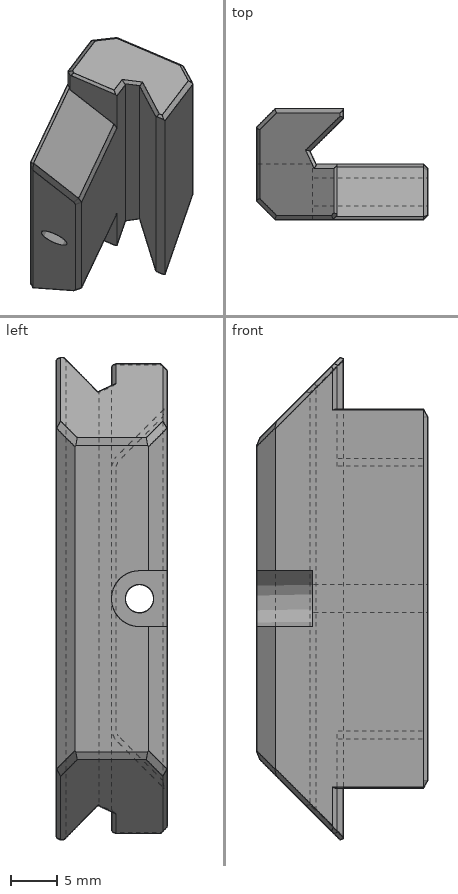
import cadquery as cq
import math

total_depth = 18.5
head_width = 12.0
total_height = 52.05
edge_chamfer = 0.5

head_bevel = 2.05
horn_tip_x = 9.35
horn_tip_thickness = 1.1
notch_root = (5.8, 7.4)
notch_foot_x = 6.4
head_step_x = 8.7
slope_start_z = total_height / 2 - horn_tip_x + edge_chamfer * math.sqrt(0.5)

block_thickness = 6.05
block_front_height = 41.65
block_start_x = 6.75

seat_depth = 6.05
seat_radius = 3.0
hole_diameter = 3.0


def bevelled_end_cutter(direction):
    """Wedge that removes one end of the head above a 45 degree slope."""
    return (
        cq.Workplane("XZ")
        .moveTo(0, direction * slope_start_z)
        .lineTo(total_depth, direction * (slope_start_z + total_depth))
        .lineTo(0, direction * (slope_start_z + total_depth))
        .close()
        .extrude(-head_width)
    )


def make_head():
    """Hooked profile with sloping ends, chamfered around each sloping face."""
    stock_height = 2 * (slope_start_z + total_depth)
    head = (
        cq.Workplane("XY")
        .workplane(offset=-stock_height / 2)
        .moveTo(head_bevel, 0)
        .lineTo(head_step_x, 0)
        .lineTo(head_step_x, block_thickness)
        .lineTo(notch_foot_x, block_thickness)
        .lineTo(*notch_root)
        .lineTo(horn_tip_x, head_width - horn_tip_thickness)
        .lineTo(horn_tip_x, head_width)
        .lineTo(head_bevel, head_width)
        .lineTo(0, head_width - head_bevel)
        .lineTo(0, head_bevel)
        .close()
        .extrude(stock_height)
    )
    head = head.edges("|Z").edges(">(1, -1, 0)").chamfer(edge_chamfer)
    for direction in (1, -1):
        head = head.cut(bevelled_end_cutter(direction))
        slope_normal = cq.Vector(-1, 0, direction)
        slope = head.faces(cq.selectors.DirectionMinMaxSelector(slope_normal))
        head = slope.edges().chamfer(edge_chamfer)
    return head


def make_block():
    """Block whose ends fall back at 45 degrees toward +Y, chamfered around the rear and the ends."""
    front_z = block_front_height / 2
    back_z = front_z - block_thickness
    block = (
        cq.Workplane("YZ")
        .workplane(offset=block_start_x)
        .moveTo(0, -front_z)
        .lineTo(block_thickness, -back_z)
        .lineTo(block_thickness, back_z)
        .lineTo(0, front_z)
        .close()
        .extrude(total_depth - block_start_x)
    )
    rear_edges = block.faces(">X").edges()
    end_edges = block.edges("|X")
    return rear_edges.add(end_edges).chamfer(edge_chamfer)


def make_screw_seat():
    """Round-bottomed slot open to the front and side, with a hole through the block."""
    slot = cq.Workplane("YZ").center(seat_radius, 0).circle(seat_radius).extrude(seat_depth)
    opening = cq.Workplane("XY").box(
        seat_depth, seat_radius, 2 * seat_radius, centered=(False, False, True)
    )
    hole = cq.Workplane("YZ").center(seat_radius, 0).circle(hole_diameter / 2).extrude(total_depth)
    return slot.union(opening).union(hole)


result = make_head().union(make_block()).cut(make_screw_seat())